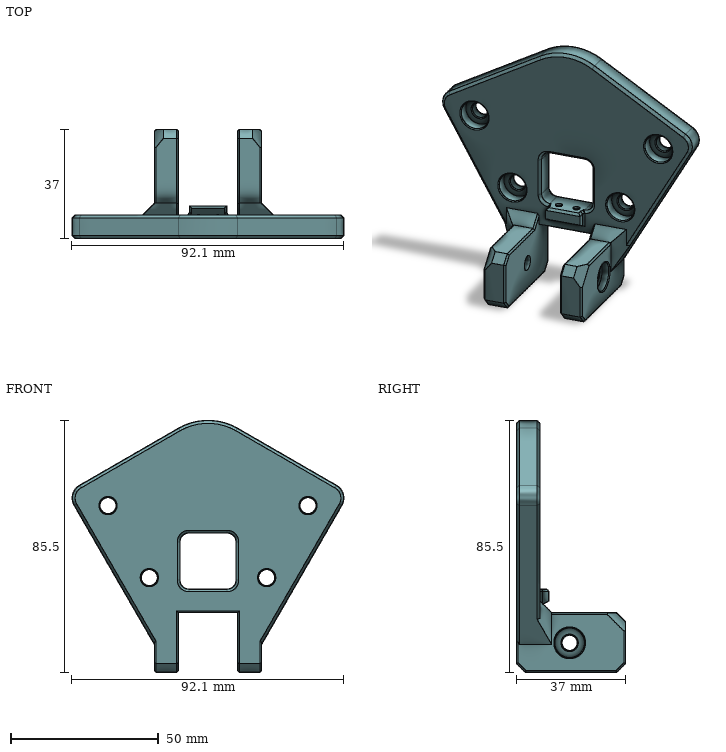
import cadquery as cq
import math

WIDTH = 92.1
HEIGHT = 85.5
PLATE_THICK = 8.0
PLATE_CHAMFER = 1.0
SIDE_ANGLE = math.radians(30)
TOP_RADIUS = 20.0
CORNER_RADIUS = 5.0
PLATE_BOTTOM_Z = 4.6

DEPTH = 37.0
LEG_INNER_X = 10.0
LEG_THICK = 8.1
LEG_OUTER_X = LEG_INNER_X + LEG_THICK
LEG_HEIGHT = 20.3
LEG_CORNER = 3.0
LEG_CHAMFER = 0.6
FLARE = 4.0
CORNER_CUT_X = 3.0
CORNER_CUT_DEPTH = 2.7

PIVOT_Y = 18.1
PIVOT_Z = 10.0
PIVOT_DIA = 5.2
COUNTERBORE_DIA = 10.0
COUNTERBORE_DEPTH = 2.8

SCREW_HOLES = ((33.9, 56.6), (19.9, 32.2))
SCREW_DIA = 5.4
SCREW_BORE_LENGTH = 3.7
HOLE_CHAMFER = 0.4

WINDOW_SIZE = 19.0
WINDOW_Z = 37.8
WINDOW_RADIUS = 3.0
WINDOW_CHAMFER = 0.9
WINDOW_FLOOR_Z = WINDOW_Z - WINDOW_SIZE / 2

TAB_HALF_WIDTH = 6.4
TAB_REACH = 3.0
TAB_FLARE_WIDTH = 0.5
TAB_FLARE_LENGTH = 0.8
TAB_CHAMFER = 0.8
TAB_BACK_HEIGHT = 4.1
TAB_BASE_HEIGHT = 5.7
TAB_ROOT = 1.4
PILOT_DIA = 1.7
PILOT_X = 3.2
PILOT_Y = 6.9


def both_sides(shape):
    """Join a right-hand shape with its mirror image across X = 0."""
    return shape.union(shape.mirror("YZ"))


def front_plane(y):
    """Sketch plane at the given Y: local x is X, local y is Z, normal is -Y."""
    return cq.Workplane("XZ", origin=(0, y, 0))


def plate_outline(y):
    """Closed outline of the plate, drawn at the given Y."""
    sin_a = math.sin(SIDE_ANGLE)
    cos_a = math.cos(SIDE_ANGLE)
    top_center_z = HEIGHT - TOP_RADIUS
    corner_x = WIDTH / 2 - CORNER_RADIUS
    corner_z = top_center_z + (TOP_RADIUS - CORNER_RADIUS - corner_x * sin_a) / cos_a

    top_tangent = (TOP_RADIUS * sin_a, top_center_z + TOP_RADIUS * cos_a)
    upper_tangent = (corner_x + CORNER_RADIUS * sin_a, corner_z + CORNER_RADIUS * cos_a)
    lower_tangent = (corner_x + CORNER_RADIUS * cos_a, corner_z - CORNER_RADIUS * sin_a)
    bottom_x = lower_tangent[0] - (lower_tangent[1] - PLATE_BOTTOM_Z) * math.tan(SIDE_ANGLE)

    def left(point):
        return (-point[0], point[1])

    return (
        front_plane(y)
        .moveTo(-bottom_x, PLATE_BOTTOM_Z)
        .lineTo(bottom_x, PLATE_BOTTOM_Z)
        .lineTo(*lower_tangent)
        .threePointArc((WIDTH / 2, corner_z), upper_tangent)
        .lineTo(*top_tangent)
        .threePointArc((0, HEIGHT), left(top_tangent))
        .lineTo(*left(upper_tangent))
        .threePointArc((-WIDTH / 2, corner_z), left(lower_tangent))
        .close()
    )


def make_plate():
    plate = plate_outline(PLATE_THICK).extrude(PLATE_THICK)
    return plate.faces("<Y or >Y").chamfer(PLATE_CHAMFER)


def box_between(low, high):
    size = [b - a for a, b in zip(low, high)]
    return cq.Workplane("XY").box(*size, centered=False).translate(low)


def make_slot_cutter():
    """Gap between the legs, with a chamfered rim on the front face."""
    slot = box_between((-LEG_INNER_X, 0, -LEG_HEIGHT), (LEG_INNER_X, PLATE_THICK, LEG_HEIGHT))
    rim = (
        front_plane(0)
        .rect(2 * (LEG_INNER_X + LEG_CHAMFER), 2 * (LEG_HEIGHT + LEG_CHAMFER))
        .workplane(offset=-LEG_CHAMFER)
        .rect(2 * LEG_INNER_X, 2 * LEG_HEIGHT)
        .loft()
    )
    return slot.union(rim)


def make_leg():
    """Right-hand leg with its chamfered edges and cut outer corner."""
    profile = [
        (0, LEG_CORNER),
        (LEG_CORNER, 0),
        (DEPTH - LEG_CORNER, 0),
        (DEPTH, LEG_CORNER),
        (DEPTH, LEG_HEIGHT - LEG_CORNER),
        (DEPTH - LEG_CORNER, LEG_HEIGHT),
        (PLATE_THICK + FLARE, LEG_HEIGHT),
        (PLATE_THICK, LEG_HEIGHT + FLARE),
        (0, LEG_HEIGHT + FLARE),
    ]
    leg = cq.Workplane("YZ", origin=(LEG_INNER_X, 0, 0)).polyline(profile).close().extrude(LEG_THICK)
    leg = leg.faces("<X or >X").chamfer(LEG_CHAMFER)

    slope_plane = cq.Plane(
        origin=(LEG_OUTER_X, DEPTH - LEG_CORNER / 2, LEG_HEIGHT - LEG_CORNER / 2),
        xDir=(-1, 0, 0),
        normal=(0, 1, -1),
    )
    bevel = (
        cq.Workplane(slope_plane)
        .polyline([(CORNER_CUT_X, 0), (0, CORNER_CUT_DEPTH), (0, -CORNER_CUT_DEPTH)])
        .close()
        .extrude(DEPTH / 2, both=True)
    )
    return leg.cut(bevel)


def make_flare():
    """Right-hand 45-degree wedge beside the leg, trimmed to the plate outline."""
    back_y = PLATE_THICK + FLARE
    root_y = PLATE_THICK / 2
    root_flare = back_y - root_y
    inner_x = LEG_INNER_X + LEG_CHAMFER
    plan = (
        cq.Workplane("XY")
        .polyline([
            (inner_x, root_y),
            (LEG_OUTER_X + root_flare, root_y),
            (LEG_OUTER_X, back_y),
            (inner_x, back_y),
        ])
        .close()
        .extrude(HEIGHT)
    )
    side = (
        cq.Workplane("YZ")
        .polyline([
            (root_y, 0),
            (root_y, LEG_HEIGHT + root_flare),
            (back_y, LEG_HEIGHT),
            (back_y, 0),
        ])
        .close()
        .extrude(WIDTH / 2)
    )
    behind_chamfer = plate_outline(back_y).extrude(back_y - root_y)
    return plan.intersect(side).intersect(behind_chamfer)


def make_window_cutter():
    def rim(y, direction):
        return (
            front_plane(y)
            .center(0, WINDOW_Z)
            .sketch()
            .rect(WINDOW_SIZE + 2 * WINDOW_CHAMFER, WINDOW_SIZE + 2 * WINDOW_CHAMFER)
            .vertices()
            .fillet(WINDOW_RADIUS + WINDOW_CHAMFER)
            .finalize()
            .extrude(direction * WINDOW_CHAMFER, taper=45)
        )

    opening = (
        front_plane(PLATE_THICK)
        .center(0, WINDOW_Z)
        .rect(WINDOW_SIZE, WINDOW_SIZE)
        .extrude(PLATE_THICK)
        .edges("|Y")
        .fillet(WINDOW_RADIUS)
    )
    return opening.union(rim(0, -1)).union(rim(PLATE_THICK, 1))


def make_tab():
    base_y = PLATE_THICK
    back_y = base_y + TAB_REACH
    root_y = base_y - TAB_ROOT
    root_x = TAB_HALF_WIDTH + TAB_FLARE_WIDTH
    half_plan = [
        (root_x, root_y),
        (root_x, base_y),
        (TAB_HALF_WIDTH, base_y + TAB_FLARE_LENGTH),
        (TAB_HALF_WIDTH, back_y),
    ]
    plan = half_plan + [(-x, y) for x, y in reversed(half_plan)]
    bottom_z = WINDOW_FLOOR_Z - TAB_BASE_HEIGHT
    tab = (
        cq.Workplane("XY", origin=(0, 0, bottom_z))
        .polyline(plan)
        .close()
        .extrude(TAB_BASE_HEIGHT)
    )
    tab = tab.faces(">Z").edges("not <Y").chamfer(TAB_CHAMFER)
    underside = (
        cq.Workplane("YZ")
        .polyline([
            (base_y, bottom_z),
            (back_y, bottom_z),
            (back_y, WINDOW_FLOOR_Z - TAB_BACK_HEIGHT),
        ])
        .close()
        .extrude(root_x, both=True)
    )
    return tab.cut(underside)


def drill(start, direction, diameter, length):
    """Plain round cutter."""
    return cq.Workplane(
        cq.Solid.makeCylinder(diameter / 2, length, cq.Vector(*start), cq.Vector(*direction))
    )


def countersink(start, direction, diameter):
    """Small conical cutter that chamfers the mouth of a hole."""
    return cq.Workplane(
        cq.Solid.makeCone(
            diameter / 2 + HOLE_CHAMFER,
            diameter / 2,
            HOLE_CHAMFER,
            cq.Vector(*start),
            cq.Vector(*direction),
        )
    )


def make_hole_cutters():
    """Cutters for every hole on the right-hand side."""
    cutters = []
    recess_depth = PLATE_THICK - SCREW_BORE_LENGTH
    for x, z in SCREW_HOLES:
        cutters.append(drill((x, 0, z), (0, 1, 0), SCREW_DIA, PLATE_THICK))
        cutters.append(countersink((x, 0, z), (0, 1, 0), SCREW_DIA))
        cutters.append(drill((x, PLATE_THICK, z), (0, -1, 0), COUNTERBORE_DIA, recess_depth))
        cutters.append(countersink((x, PLATE_THICK, z), (0, -1, 0), COUNTERBORE_DIA))
        cutters.append(countersink((x, SCREW_BORE_LENGTH, z), (0, -1, 0), SCREW_DIA))

    inward = (-1, 0, 0)
    outer = (LEG_OUTER_X, PIVOT_Y, PIVOT_Z)
    seat = (LEG_OUTER_X - COUNTERBORE_DEPTH, PIVOT_Y, PIVOT_Z)
    cutters.append(drill(outer, inward, PIVOT_DIA, LEG_THICK))
    cutters.append(drill(outer, inward, COUNTERBORE_DIA, COUNTERBORE_DEPTH))
    cutters.append(countersink(outer, inward, COUNTERBORE_DIA))
    cutters.append(countersink(seat, inward, PIVOT_DIA))

    pilot_length = WINDOW_FLOOR_Z - LEG_HEIGHT
    pilot_top = (PILOT_X, PILOT_Y, WINDOW_FLOOR_Z)
    cutters.append(drill(pilot_top, (0, 0, -1), PILOT_DIA, pilot_length))
    cutters.append(countersink(pilot_top, (0, 0, -1), PILOT_DIA))
    return cutters


body = make_plate().cut(make_slot_cutter()).cut(make_window_cutter())
body = body.union(make_tab())
body = body.union(both_sides(make_leg()))
body = body.union(both_sides(make_flare()))
for cutter in make_hole_cutters():
    body = body.cut(cutter).cut(cutter.mirror("YZ"))

result = body